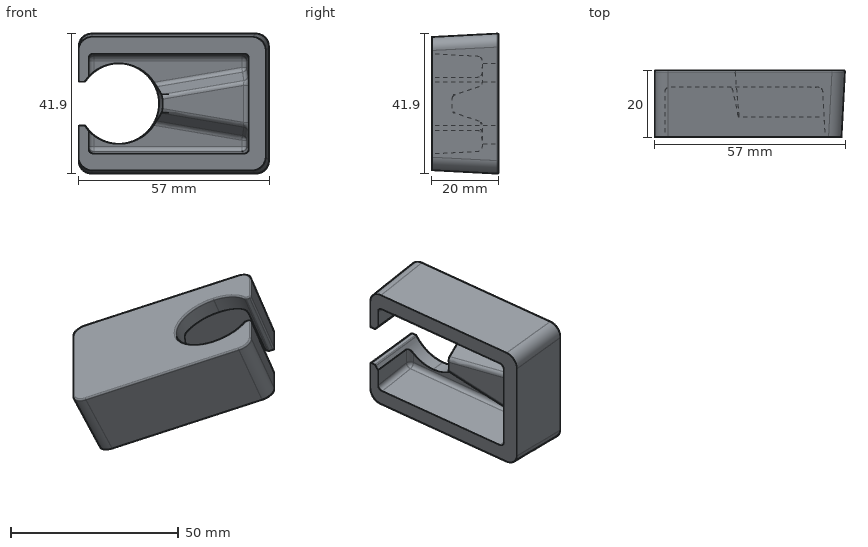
import cadquery as cq
import math


length = 57.0
height = 42.0
depth = 20.0
draft = math.radians(3)
corner_radius = 4.0
back_edge_radius = 0.5

frame_wall = 5.0
clip_wall = 3.0
floor_thickness = 5.0
pocket_radius = 1.5

rib_height = 9.0
rib_half_width = 0.25
rib_spread = math.radians(9.65)
rib_side_draft = math.radians(20)
rib_nose_x = 20.0

bore_radius = 12.0
bore_x = bore_radius
bore_lean = math.radians(5)
mouth_width = 13.0
lip_radius = 0.5

front_length = length - depth * math.tan(draft)
front_half_height = height / 2 - depth * math.tan(draft)
floor_y = depth - floor_thickness
rib_top_y = floor_y - rib_height

tolerance = 0.01


def back_sketch(center_x):
    """Workplane on the back face centred at the given X, extruding toward the open face."""
    return cq.Workplane("XZ", origin=(center_x, depth, 0))


def tapered_box(x_min, y_start, y_end, start, end):
    """Flat-sided box between two rectangles, each given as (x_max, half_height)."""
    x_max_start, half_start = start
    x_max_end, half_end = end
    plan = [
        (x_min, y_start),
        (x_max_start, y_start),
        (x_max_end, y_end),
        (x_min, y_end),
    ]
    side = [
        (y_start, -half_start),
        (y_end, -half_end),
        (y_end, half_end),
        (y_start, half_start),
    ]
    plan_prism = cq.Workplane("XY").polyline(plan).close().extrude(height, both=True)
    side_prism = cq.Workplane("YZ").polyline(side).close().extrude(2 * length, both=True)
    return plan_prism.intersect(side_prism)


def make_block():
    """Block with drafted walls and four rounded corners."""
    front = (front_length, front_half_height)
    back = (length, height / 2)
    block = tapered_box(0, 0, depth, front, back)
    return block.edges("not(#Y)").fillet(corner_radius)


def rib_outline(y):
    """Trapezoid section of the rib at the given Y, wider toward the end wall."""
    side_offset = (y - rib_top_y) * math.tan(rib_side_draft) / math.cos(rib_spread)

    def half_width(x):
        return rib_half_width + side_offset + (x - bore_x) * math.tan(rib_spread)

    corners = [
        cq.Vector(rib_nose_x, y, -half_width(rib_nose_x)),
        cq.Vector(length, y, -half_width(length)),
        cq.Vector(length, y, half_width(length)),
        cq.Vector(rib_nose_x, y, half_width(rib_nose_x)),
    ]
    return cq.Wire.makePolygon(corners, close=True)


def make_rib():
    """Wedge from its flat top down through the floor, with sides that lean outward."""
    return cq.Workplane(obj=cq.Solid.makeLoft([rib_outline(rib_top_y), rib_outline(depth)], True))


def make_pocket():
    """Empty space of the pocket around the rib, with every inner edge rounded."""
    opening_x = front_length - frame_wall
    opening_half = front_half_height - frame_wall
    inset = floor_y * math.tan(draft)
    opening = (opening_x, opening_half)
    floor = (opening_x - inset, opening_half - inset)
    pocket = tapered_box(clip_wall, 0, floor_y, opening, floor).cut(make_rib())
    return pocket.edges("not(<Y)").fillet(pocket_radius)


def bore_half_outline(y):
    """Half ellipse on the rib side of the bore, reaching further toward the open face."""
    reach = bore_radius + (depth - y) * math.tan(bore_lean)
    center = cq.Vector(bore_x, y, 0)
    top = cq.Vector(bore_x, y, bore_radius)
    bottom = cq.Vector(bore_x, y, -bore_radius)
    toward_open_face = cq.Vector(0, -1, 0)
    toward_rib = cq.Vector(1, 0, 0)
    arc = cq.Edge.makeEllipse(reach, bore_radius, center, toward_open_face, toward_rib, -90, 90)
    return cq.Wire.assembleEdges([arc, cq.Edge.makeLine(top, bottom)])


def make_bore():
    """Round bore whose half facing the rib leans outward from the back to the open face."""
    straight_bore = back_sketch(bore_x).circle(bore_radius).extrude(depth)
    leaning_half = cq.Solid.makeLoft([bore_half_outline(depth), bore_half_outline(0)], True)
    return straight_bore.union(cq.Workplane(obj=leaning_half))


def make_mouth():
    """Slot that opens the bore through the clip face."""
    clip_face_x = 0
    return back_sketch(clip_face_x).rect(2 * bore_x, mouth_width).extrude(depth)


def round_lips(body):
    """Round the four long edges of the lips on either side of the mouth."""
    half_mouth = mouth_width / 2 + tolerance
    near_mouth = cq.selectors.BoxSelector(
        (-tolerance, 0, -half_mouth),
        (clip_wall, depth, half_mouth),
    )
    return body.edges("|Y").edges(near_mouth).fillet(lip_radius)


def round_back(body):
    """Round the whole rim of the back face, including the bore and its mouth."""
    return body.faces(">Y").edges().fillet(back_edge_radius)


body = make_block().cut(make_pocket()).cut(make_bore()).cut(make_mouth())
result = cq.Workplane(obj=round_back(round_lips(body)).solids().val())